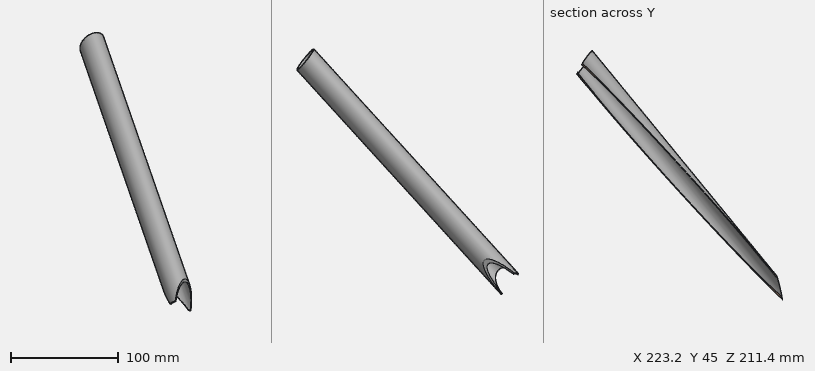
import cadquery as cq

outer_radius = 12.5
wall = 1.3
stock_length = 402
stock_above_axis_point = 312.7

axis_point = cq.Vector(180.7, 15.9, 43.3)
axis_direction = cq.Vector(1, -0.094, -0.89).normalized()

upper_end_point = (5.0, 32.5, 200.3)
upper_end_normal = (-2.5, 0, 1)
lower_bevel_point = (192.5, 14.5, 16.0)
lower_bevel_normal = (-1, -1, -2)
side_bevel_point = (217.0, 8.7, 28.0)
side_bevel_normal = (1, 0.47, 0.24)
tip_point = (216.6, 0, 11.0)
tip_normal = (1, -0.55, -1.2)

waste_size = 2 * stock_length


def make_tube():
    start = axis_point - axis_direction * stock_above_axis_point
    plane = cq.Plane(origin=start.toTuple(), normal=axis_direction.toTuple())
    section = cq.Workplane(plane).circle(outer_radius).circle(outer_radius - wall)
    return section.extrude(stock_length)


def trim(body, point, normal):
    """Remove everything on the side of the plane that the normal points to."""
    plane = cq.Plane(origin=point, normal=normal)
    waste = cq.Workplane(plane).rect(waste_size, waste_size).extrude(waste_size)
    return body.cut(waste)


tube = make_tube()
tube = trim(tube, upper_end_point, upper_end_normal)

tube = trim(tube, lower_bevel_point, lower_bevel_normal)
tube = trim(tube, side_bevel_point, side_bevel_normal)
result = trim(tube, tip_point, tip_normal)